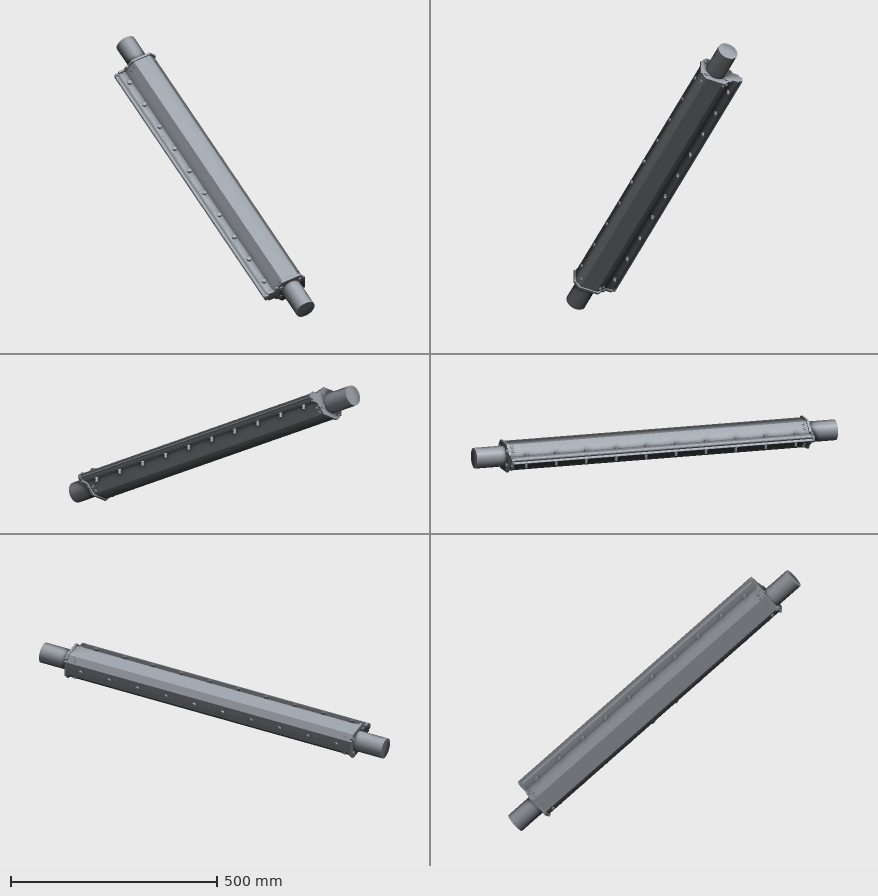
import cadquery as cq

total_length = 919.0
shaft_diameter = 51.0
body_length = 759.0
plate_thickness = 5.5
plate_outer_x = body_length / 2 + plate_thickness

body_half_height = 32.0
body_back_y = 35.0
body_back_half_height = 17.5
body_top_back_y = 22.0
body_top_front_y = -20.0
arm_root_y = -45.0
arm_front_y = -59.0
arm_half_height = 8.0

lip_tip_y = -72.0
lip_root_half_height = 7.8
lip_tip_half_height = 5.0
lip_shoulder_y = -62.0
lip_slope_end_y = -66.0
lip_groove_half_width = 4.0
lip_groove_depth = 4.0

plate_height = 71.0
plate_half_height = plate_height / 2
plate_half_outline = [
    (39.0, 21.0),
    (33.0, 21.0),
    (33.0, 27.0),
    (25.0, plate_half_height),
    (-25.0, plate_half_height),
    (-31.0, 28.0),
    (-35.0, 21.0),
    (-39.5, 21.0),
    (-46.0, 13.0),
    (-62.0, 13.0),
    (-62.0, 7.0),
    (-69.0, 7.0),
    (lip_tip_y, 5.0),
]

socket_size = 5.0
socket_depth = 2.0
embed_depth = 3.0
row_count = 10
row_pitch = 76.0
arm_screw_y = -51.5
arm_head_diameter = 10.0
arm_head_height = 5.5
nut_corner_diameter = 9.0
nut_height = 3.0
bolt_diameter = 6.0
bolt_end_z = -20.0
back_head_diameter = 10.0
back_head_height = 4.0
tall_back_head_height = 5.5
plate_head_diameter = 11.0
plate_head_height = 3.0
plate_screw_spots = [(25.0, 20.0), (-28.0, 17.0)]
slope_head_diameter = 8.5
slope_head_height = 3.0
front_slope_screw_x = 371.0
front_slope_fractions = [0.2, 0.55]
back_slope_screw_x = 362.0


def bar_from_half(half_outline, length):
    """Mirror an upper (y, z) outline about z = 0 and extrude it centred along X."""
    lower = [(y, -z) for y, z in reversed(half_outline)]
    section = cq.Workplane("YZ").polyline(half_outline + lower).close()
    return section.extrude(length / 2, both=True)


def plain_head(base, normal, diameter, height):
    """Cylindrical head rooted slightly below its seat."""
    seat = cq.Workplane(cq.Plane(origin=base, normal=normal))
    return seat.workplane(offset=-embed_depth).circle(diameter / 2).extrude(embed_depth + height)


def socket_head(base, normal, diameter, height):
    """Cylindrical head with a hexagon socket in its outer face."""
    head = plain_head(base, normal, diameter, height)
    seat = cq.Workplane(cq.Plane(origin=base, normal=normal))
    socket = seat.workplane(offset=height).polygon(6, socket_size).extrude(-socket_depth)
    return head.cut(socket)


def make_body():
    body = bar_from_half(
        [
            (body_back_y, body_back_half_height),
            (body_top_back_y, body_half_height),
            (body_top_front_y, body_half_height),
            (arm_root_y, arm_half_height),
            (arm_front_y, arm_half_height),
        ],
        body_length,
    )
    lip = bar_from_half(
        [
            (arm_root_y, lip_root_half_height),
            (lip_shoulder_y, lip_root_half_height),
            (lip_slope_end_y, lip_tip_half_height),
            (lip_tip_y, lip_tip_half_height),
        ],
        body_length,
    )
    groove = cq.Workplane("YZ").polyline(
        [
            (lip_tip_y, lip_groove_half_width),
            (lip_tip_y + lip_groove_depth, 0),
            (lip_tip_y, -lip_groove_half_width),
        ]
    )
    lip = lip.cut(groove.close().extrude(body_length / 2, both=True))
    shaft = cq.Workplane("YZ").circle(shaft_diameter / 2).extrude(total_length / 2, both=True)
    return body.union(lip).union(shaft)


def make_end_plate(side):
    plate = bar_from_half(plate_half_outline, plate_thickness)
    return plate.translate((side * (plate_outer_x - plate_thickness / 2), 0, 0))


def make_row_screws():
    """Clamping bolts through the arm and plain heads along the back, the middle ones taller."""
    parts = []
    for index in range(row_count):
        x = (index - (row_count - 1) / 2) * row_pitch
        arm_top = (x, arm_screw_y, arm_half_height)
        parts.append(plain_head(arm_top, (0, 0, 1), arm_head_diameter, arm_head_height))
        under_arm = cq.Workplane("XY", origin=(x, arm_screw_y, -arm_half_height))
        parts.append(under_arm.polygon(6, nut_corner_diameter).extrude(-nut_height))
        parts.append(under_arm.circle(bolt_diameter / 2).extrude(bolt_end_z + arm_half_height))
        is_middle = abs(x) < row_pitch
        height = tall_back_head_height if is_middle else back_head_height
        parts.append(plain_head((x, body_back_y, 0), (0, 1, 0), back_head_diameter, height))
    return parts


def make_end_screws(side):
    """Screws on one end plate and on the sloped body faces next to it."""
    parts = []
    front_run = body_top_front_y - arm_root_y
    front_drop = body_half_height - arm_half_height
    back_run = body_back_y - body_top_back_y
    back_drop = body_half_height - body_back_half_height
    for level in (1, -1):
        for y, z in plate_screw_spots:
            base = (side * plate_outer_x, y, level * z)
            parts.append(socket_head(base, (side, 0, 0), plate_head_diameter, plate_head_height))
        for fraction in front_slope_fractions:
            y = body_top_front_y - fraction * front_run
            z = body_half_height - fraction * front_drop
            base = (side * front_slope_screw_x, y, level * z)
            normal = (0, -front_drop, level * front_run)
            parts.append(socket_head(base, normal, slope_head_diameter, slope_head_height))
        y = (body_back_y + body_top_back_y) / 2
        z = (body_half_height + body_back_half_height) / 2
        base = (side * back_slope_screw_x, y, level * z)
        normal = (0, back_drop, level * back_run)
        parts.append(socket_head(base, normal, slope_head_diameter, slope_head_height))
    return parts


result = make_body()
for side in (-1, 1):
    result = result.union(make_end_plate(side))
    for screw in make_end_screws(side):
        result = result.union(screw)
for screw in make_row_screws():
    result = result.union(screw)